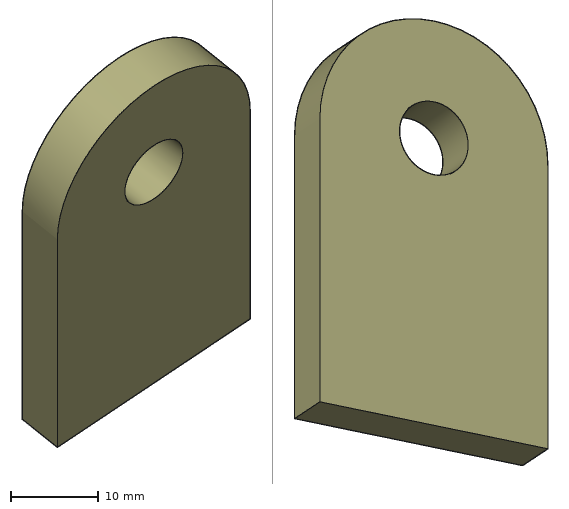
import cadquery as cq

thickness = 6.0
width = 30.0
height = 50.0
hole_diameter = 9.0
hole_height = 35.5

end_radius = width / 2
shoulder_height = height - end_radius


def make_plate():
    """Flat plate with a square bottom and a full-round top."""
    return (
        cq.Workplane("YZ")
        .moveTo(-width / 2, 0)
        .lineTo(width / 2, 0)
        .lineTo(width / 2, shoulder_height)
        .threePointArc((0, height), (-width / 2, shoulder_height))
        .close()
        .extrude(thickness / 2, both=True)
    )


def make_hole():
    """Cylinder that cuts through the full thickness of the plate."""
    return (
        cq.Workplane("YZ")
        .center(0, hole_height)
        .circle(hole_diameter / 2)
        .extrude(thickness / 2, both=True)
    )


result = make_plate().cut(make_hole())